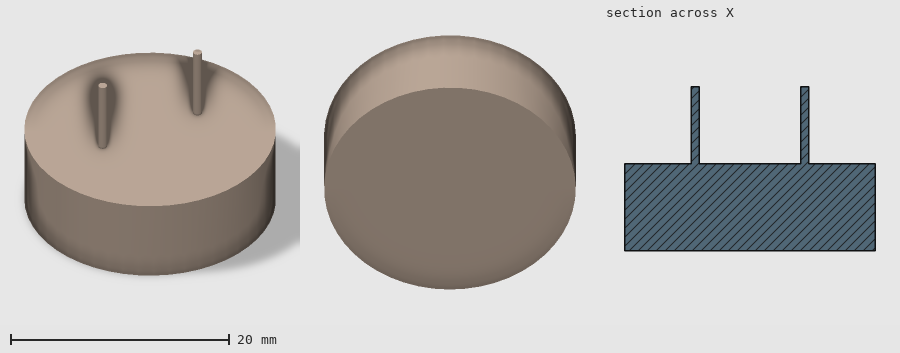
import cadquery as cq

BODY_DIAMETER = 23.0
BODY_HEIGHT = 8.0

PIN_DIAMETER = 0.8
PIN_LENGTH = 7.0
PIN_PITCH = 10.0


def make_body():
    """Plain cylindrical housing."""
    return cq.Workplane("XY").circle(BODY_DIAMETER / 2).extrude(BODY_HEIGHT)


def add_pins(body):
    """Join both pins to the top face, at equal distances from the centre."""
    pin_centres = [(0, -PIN_PITCH / 2), (0, PIN_PITCH / 2)]
    return (
        body.faces(">Z")
        .workplane()
        .pushPoints(pin_centres)
        .circle(PIN_DIAMETER / 2)
        .extrude(PIN_LENGTH)
    )


result = add_pins(make_body())